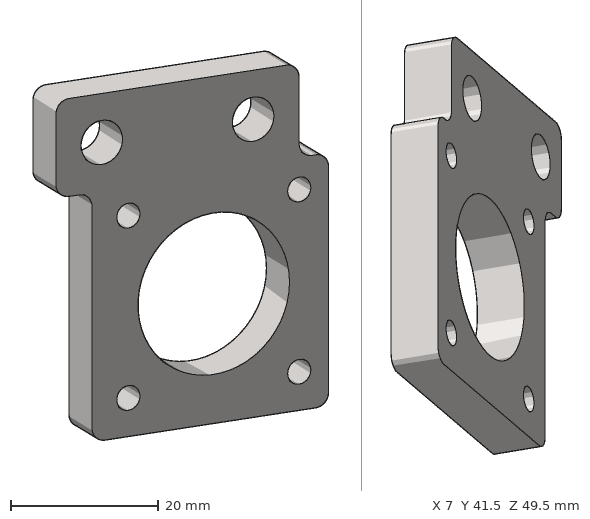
import cadquery as cq

thickness = 7.0
width = 41.5
height = 49.5
corner_radius = 2.0

body_width = 36.0
lug_inset = 4.5
shoulder_drop = 13.4
overhang_drop = 13.95

bore_diameter = 23.0
bore_inset = 17.45
bore_height = 18.5
screw_diameter = 3.5
screw_spacing = 26.0

mount_diameter = 6.3
mount_inset = 7.0

y_max = width / 2
y_min = -y_max
z_max = height / 2
z_min = -z_max
body_y_min = y_max - body_width
lug_y_max = y_max - lug_inset
shoulder_z = z_max - shoulder_drop
overhang_z = z_max - overhang_drop


def face_plane():
    """YZ plane on the -X face of the plate."""
    return cq.Workplane("YZ", origin=(-thickness / 2, 0, 0))


def make_plate():
    """Stepped plate with every corner rounded, inside corners included."""
    outline = [
        (body_y_min, z_min),
        (y_max, z_min),
        (y_max, shoulder_z),
        (lug_y_max, shoulder_z),
        (lug_y_max, z_max),
        (y_min, z_max),
        (y_min, overhang_z),
        (body_y_min, overhang_z),
    ]
    plate = face_plane().polyline(outline).close().extrude(thickness)
    return plate.edges("|X").fillet(corner_radius)


def make_holes(diameter, centers):
    """Cylinders along X that pass through the plate at the (y, z) centres."""
    return face_plane().pushPoints(centers).circle(diameter / 2).extrude(thickness)


bore_y = y_max - bore_inset
bore_z = z_min + bore_height
screw_centers = [
    (bore_y + y_side * screw_spacing / 2, bore_z + z_side * screw_spacing / 2)
    for y_side in (-1, 1)
    for z_side in (-1, 1)
]
mount_z = z_max - mount_inset
mount_centers = [(y_min + mount_inset, mount_z), (lug_y_max - mount_inset, mount_z)]

result = (
    make_plate()
    .cut(make_holes(bore_diameter, [(bore_y, bore_z)]))
    .cut(make_holes(screw_diameter, screw_centers))
    .cut(make_holes(mount_diameter, mount_centers))
)